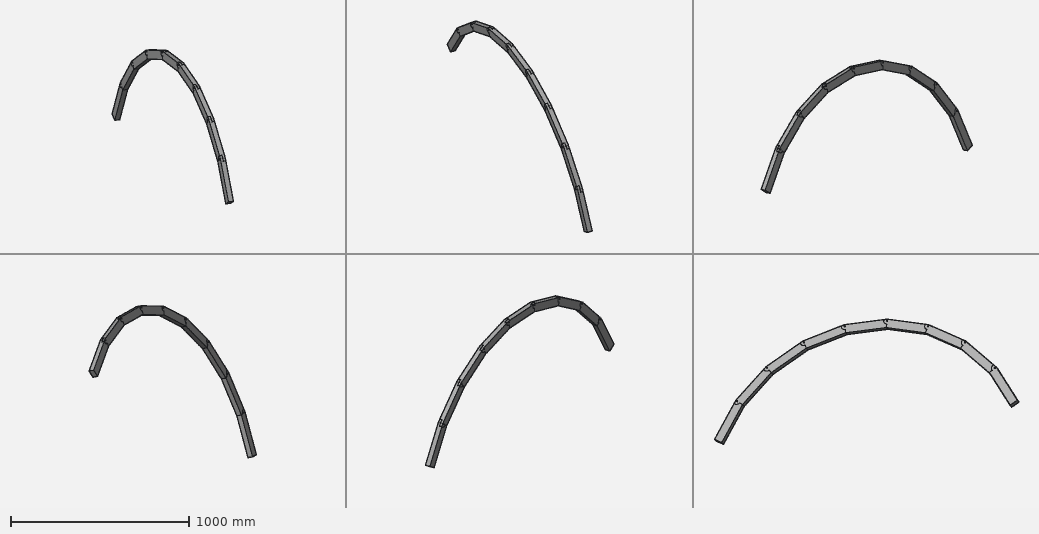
import cadquery as cq
import math

link_count = 9
bend_angle = 15.0
pitch = 252.0
link_depth = 50.0
link_thickness = 30.0
pivot_inset = 9.5
tongue_radius = 20.0
pivot_hole_diameter = 5.0

half_pitch = pitch / 2
half_thickness = link_thickness / 2
inner_drop = link_depth - pivot_inset
miter_slope = math.tan(math.radians(bend_angle / 2))
middle_index = (link_count - 1) // 2

LEFT = -1
RIGHT = 1
FRONT = -1
REAR = 1


def link_outline(sides):
    """Plain link with its pivots on the X axis; the jointed sides are mitred through their pivot."""
    left_slope = miter_slope if LEFT in sides else 0
    right_slope = miter_slope if RIGHT in sides else 0
    return (
        cq.Workplane("XZ")
        .moveTo(-half_pitch - pivot_inset * left_slope, pivot_inset)
        .lineTo(half_pitch + pivot_inset * right_slope, pivot_inset)
        .lineTo(half_pitch - inner_drop * right_slope, -inner_drop)
        .lineTo(-half_pitch + inner_drop * left_slope, -inner_drop)
        .close()
        .extrude(half_thickness, both=True)
    )


def swing_to_neighbour(body, side):
    """Move a body from a link's own position to that of its neighbour on the given side."""
    pivot_x = side * half_pitch
    return (
        body.translate((side * pitch, 0, 0))
        .rotate((pivot_x, 0, 0), (pivot_x, 1, 0), side * bend_angle)
    )


def half_disc(side, layer):
    """Disc around a pivot, filling the front or rear half of the thickness."""
    pivot_plane = cq.Workplane("XZ", origin=(side * half_pitch, 0, 0))
    return pivot_plane.circle(tongue_radius).extrude(-layer * half_thickness)


def tongue(side, layer):
    """Part of the disc that laps over the neighbour, flush with the neighbour's outer edge."""
    neighbour = swing_to_neighbour(link_outline([LEFT, RIGHT]), side)
    return half_disc(side, layer).intersect(neighbour)


def pivot_hole(side):
    """Through hole shared by the two tongues of a joint."""
    pivot_plane = cq.Workplane("XZ", origin=(side * half_pitch, 0, 0))
    return pivot_plane.circle(pivot_hole_diameter / 2).extrude(half_thickness, both=True)


def make_link(sides):
    """Half-lapped link: front tongue on its left, rear tongue on its right, recesses opposite them."""
    body = link_outline(sides)
    for side in sides:
        layer = FRONT if side == LEFT else REAR
        body = body.cut(half_disc(side, -layer))
        body = body.union(tongue(side, layer))
        body = body.cut(pivot_hole(side))
    return body.solids()


def place_in_chain(body, index):
    """Carry a link from the middle of the arch out to its place in the chain."""
    steps = index - middle_index
    side = RIGHT if steps > 0 else LEFT
    for _ in range(abs(steps)):
        body = swing_to_neighbour(body, side)
    return body


links = []
for index in range(link_count):
    jointed_sides = []
    if index > 0:
        jointed_sides.append(LEFT)
    if index < link_count - 1:
        jointed_sides.append(RIGHT)
    links.append(place_in_chain(make_link(jointed_sides), index))

result = cq.Compound.makeCompound([link.val() for link in links])